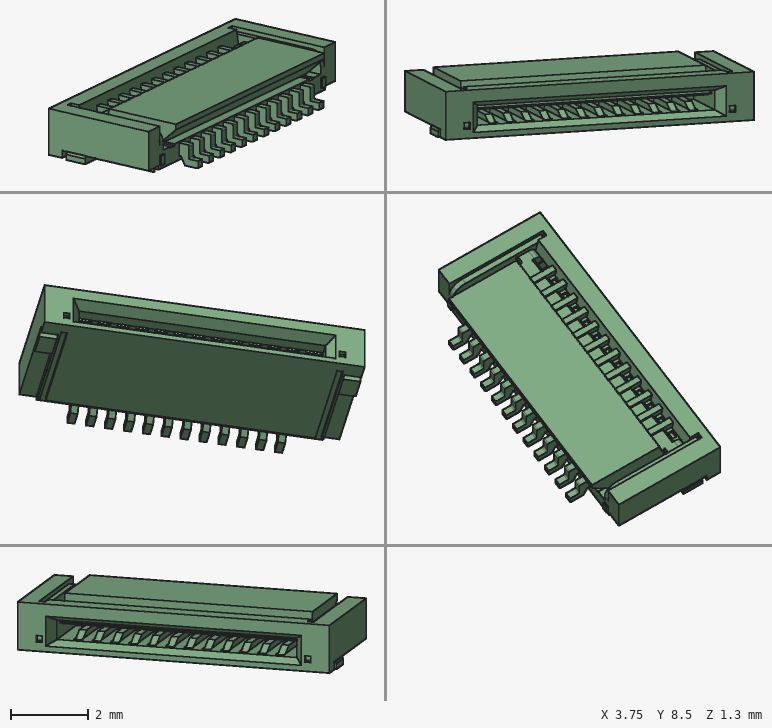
import cadquery as cq
import math


HOUSING_LENGTH = 3.15
HOUSING_HALF_WIDTH = 4.24
HOUSING_BOTTOM = 0.025
TOP = 1.3
MOUTH_WALL = 0.5
MOUTH_WALL_LOW = 0.58
BAY_HALF_WIDTH = 3.57
REAR_STEP_LENGTH = 0.15
REAR_STEP_Z = 0.13

CAVITY_HALF_WIDTH = 3.26
CAVITY_FLOOR = 0.31
CAVITY_CEILING = 0.825
CAVITY_BACK = 1.9
FUNNEL_HALF_WIDTH = 3.48
FUNNEL_FLOOR = 0.18
FUNNEL_CEILING = 0.98
FUNNEL_DEPTH = 0.29

LEDGE_HIGH = 0.68
LEDGE_LOW = 0.6
LEDGE_SLOPE_START = 1.4
LEDGE_SLOPE_END = 2.09
CORE_HALF_WIDTH = 3.06
CORE_SHOULDER = 0.57

LEVER_HALF_WIDTH = 3.37
LEVER_BOTTOM = 0.62
LEVER_REAR = 3.41
LEVER_REAR_EDGE = 1.15
LEVER_UNDERCUT_Z = 0.91
LEVER_FRONT_TOP = 1.31
LEVER_FRONT_LOW = 1.24
TONGUE_TOP = 1.02
TONGUE_HALF_WIDTH = 3.29
TONGUE_STEP = 0.87
TONGUE_LEDGE_Z = 0.89
TONGUE_LEDGE_FRONT = 0.78
TONGUE_NOSE = 0.74
TONGUE_NOSE_Z = 0.67
TONGUE_FOOT = 0.78
PIVOT_RADIUS = 0.22
PIVOT_X = 0.81
STOP_FRONT = 1.15
STOP_REAR = 1.2
STOP_INNER = 3.36
STOP_RISE = 0.05

CONTACT_COUNT = 12
CONTACT_SPAN = 5.5
CONTACT_PITCH = CONTACT_SPAN / (CONTACT_COUNT - 1)
CONTACT_POSITIONS = [index * CONTACT_PITCH - CONTACT_SPAN / 2 for index in range(CONTACT_COUNT)]
CONTACT_WIDTH = 0.195
ARM_WIDTH = 0.18
ARM_TOP = 1.08
ARM_BOTTOM = 0.89
TIP_SLOT_FRONT = 0.45
TIP_SLOT_BOTTOM = 0.24
TIP_SLOT_CLEARANCE = 0.01
TIP_FRONT = 0.56
TIP_FRONT_TOP = 0.27
TIP_TOP = 0.46
TIP_ANGLE = 28
TAIL_TOP = 0.59
TAIL_UNDERSIDE = 0.23
TAIL_REAR = 3.46
TAIL_HEEL_FRONT = 3.205
TAIL_HEEL = 3.33
FOOT_THICKNESS = 0.2
FOOT_END = 3.75
TAIL_ROUND = 0.03

NAIL_THICKNESS = 0.16
NAIL_FRONT = 0.31
NAIL_TOP = 1.18
NAIL_REAR_RADIUS = 0.4
NAIL_HEEL_REAR = 3.205
NAIL_HEEL_TOP = 0.5
NAIL_SLOT_FRONT = 0.25
NAIL_SLOT_FLOOR = 1.14
NAIL_HOLE_SIZE = 0.17
NAIL_HOLE_Z = 0.36
NAIL_TIP = 0.07

NOTCH_FRONT = 0.425
NOTCH_TOP = 0.23
NOTCH_INNER = 3.79
TAB_FRONT = 0.56
TAB_REAR = 1.16
TAB_HALF_WIDTH = 4.25
TAB_SHOULDER_Z = 0.15
TAB_SHOULDER_WIDTH = 0.04


def box(x_range, y_range, z_range):
    """Axis-aligned block from its limits along X, Y and Z."""
    lows, highs = zip(x_range, y_range, z_range)
    sizes = [high - low for low, high in zip(lows, highs)]
    return cq.Workplane("XY").box(*sizes, centered=False).translate(lows)


def extrude_along_y(profile, y_range):
    """Extrude a closed XZ sketch between two Y positions."""
    y_low, y_high = y_range
    return profile.extrude(y_low - y_high).translate((0, y_low, 0))


def prism(points, y_range):
    """Extrude an XZ polygon between two Y positions."""
    return extrude_along_y(cq.Workplane("XZ").polyline(points).close(), y_range)


def both_sides(solid):
    """The solid together with its mirror image across Y = 0."""
    return solid.union(solid.mirror("XZ"))


def symmetric(half_width):
    """Limits centred on zero."""
    return (-half_width, half_width)


def cable_mouth():
    """Straight cable cavity with a funnel-shaped entry."""
    cavity = box((0, CAVITY_BACK), symmetric(CAVITY_HALF_WIDTH), (CAVITY_FLOOR, CAVITY_CEILING))
    funnel = (
        cq.Workplane("YZ")
        .center(0, (FUNNEL_FLOOR + FUNNEL_CEILING) / 2)
        .rect(2 * FUNNEL_HALF_WIDTH, FUNNEL_CEILING - FUNNEL_FLOOR)
        .workplane(offset=FUNNEL_DEPTH)
        .center(0, (CAVITY_FLOOR + CAVITY_CEILING - FUNNEL_FLOOR - FUNNEL_CEILING) / 2)
        .rect(2 * CAVITY_HALF_WIDTH, CAVITY_CEILING - CAVITY_FLOOR)
        .loft(ruled=True)
    )
    return cavity.union(funnel)


def lever_bay():
    """Open space behind the front wall, above the side ledges and the core."""
    bay = prism(
        [
            (MOUTH_WALL, TOP),
            (MOUTH_WALL_LOW, CAVITY_CEILING),
            (MOUTH_WALL_LOW, LEDGE_HIGH),
            (LEDGE_SLOPE_START, LEDGE_HIGH),
            (LEDGE_SLOPE_END, LEDGE_LOW),
            (HOUSING_LENGTH, LEDGE_LOW),
            (HOUSING_LENGTH, TOP),
        ],
        symmetric(BAY_HALF_WIDTH),
    )
    over_cavity = box(
        (MOUTH_WALL_LOW, CAVITY_BACK), symmetric(CAVITY_HALF_WIDTH), (CAVITY_FLOOR, LEDGE_HIGH)
    )
    over_core = box(
        (CAVITY_BACK, HOUSING_LENGTH), symmetric(CAVITY_HALF_WIDTH), (CORE_SHOULDER, LEDGE_HIGH)
    )
    return bay.union(over_cavity).union(over_core)


def nail_openings():
    """Top slot for the nail blade and the small hole showing its tip, on the +Y side."""
    nail_y = (BAY_HALF_WIDTH, BAY_HALF_WIDTH + NAIL_THICKNESS)
    slot = box((NAIL_SLOT_FRONT, NAIL_FRONT), nail_y, (NAIL_SLOT_FLOOR, TOP))
    blade_room = box((NAIL_FRONT, HOUSING_LENGTH), nail_y, (HOUSING_BOTTOM, TOP))
    hole_z = (NAIL_HOLE_Z - NAIL_HOLE_SIZE / 2, NAIL_HOLE_Z + NAIL_HOLE_SIZE / 2)
    hole = box((0, NAIL_FRONT), nail_y, hole_z)
    return slot.union(blade_room).union(hole)


def cut_tip_slots(housing):
    """Cut the cavity-floor slots around the contact tips."""
    slot = box(
        (TIP_SLOT_FRONT, CAVITY_BACK),
        symmetric(CONTACT_WIDTH / 2 + TIP_SLOT_CLEARANCE),
        (TIP_SLOT_BOTTOM, CAVITY_FLOOR),
    )
    for contact_y in CONTACT_POSITIONS:
        housing = housing.cut(slot.translate((0, contact_y, 0)))
    return housing


def make_housing():
    """Housing with mouth, lever bay and openings for contacts, nails and tabs."""
    body = box((0, HOUSING_LENGTH), symmetric(HOUSING_HALF_WIDTH), (HOUSING_BOTTOM, TOP))
    core_ridge = box(
        (CAVITY_BACK, HOUSING_LENGTH), symmetric(CORE_HALF_WIDTH), (CORE_SHOULDER, LEVER_BOTTOM)
    )
    rear_step = box(
        (HOUSING_LENGTH - REAR_STEP_LENGTH, HOUSING_LENGTH),
        symmetric(HOUSING_HALF_WIDTH),
        (HOUSING_BOTTOM, REAR_STEP_Z),
    )
    tab_notch = box(
        (NOTCH_FRONT, HOUSING_LENGTH), (NOTCH_INNER, HOUSING_HALF_WIDTH), (HOUSING_BOTTOM, NOTCH_TOP)
    )
    housing = (
        body.cut(cable_mouth())
        .cut(lever_bay())
        .union(core_ridge)
        .cut(rear_step)
        .cut(both_sides(nail_openings()))
        .cut(both_sides(tab_notch))
    )
    return cut_tip_slots(housing)


def make_lever():
    """Locking lever with its front tongue, pivot ends and end stops."""
    undercut_slope = (LEVER_REAR_EDGE - LEVER_UNDERCUT_Z) / (LEVER_REAR - HOUSING_LENGTH)
    undercut_start = HOUSING_LENGTH - (LEVER_UNDERCUT_Z - LEVER_BOTTOM) / undercut_slope
    plate = prism(
        [
            (LEVER_FRONT_TOP, TOP),
            (LEVER_REAR, TOP),
            (LEVER_REAR, LEVER_REAR_EDGE),
            (undercut_start, LEVER_BOTTOM),
            (LEVER_FRONT_LOW, LEVER_BOTTOM),
            (LEVER_FRONT_LOW, TONGUE_TOP),
        ],
        symmetric(LEVER_HALF_WIDTH),
    )
    tongue = prism(
        [
            (LEVER_FRONT_LOW, TONGUE_TOP),
            (TONGUE_STEP, TONGUE_TOP),
            (TONGUE_STEP, TONGUE_LEDGE_Z),
            (TONGUE_LEDGE_FRONT, TONGUE_LEDGE_Z),
            (TONGUE_NOSE, TONGUE_NOSE_Z),
            (TONGUE_FOOT, LEVER_BOTTOM),
            (LEVER_FRONT_LOW, LEVER_BOTTOM),
        ],
        symmetric(TONGUE_HALF_WIDTH),
    )
    pivot_profile = (
        cq.Workplane("XZ")
        .moveTo(PIVOT_X, TONGUE_TOP)
        .radiusArc((PIVOT_X - PIVOT_RADIUS, TONGUE_TOP - PIVOT_RADIUS), -PIVOT_RADIUS)
        .lineTo(PIVOT_X - PIVOT_RADIUS, LEVER_BOTTOM)
        .lineTo(LEVER_FRONT_LOW, LEVER_BOTTOM)
        .lineTo(LEVER_FRONT_LOW, TONGUE_TOP)
        .close()
    )
    pivot = extrude_along_y(pivot_profile, (TONGUE_HALF_WIDTH, BAY_HALF_WIDTH))
    pit = box(
        (STOP_REAR, LEVER_FRONT_LOW), (LEVER_HALF_WIDTH, BAY_HALF_WIDTH), (LEVER_BOTTOM, TONGUE_TOP)
    )
    stop = prism(
        [
            (STOP_FRONT, TONGUE_TOP),
            (STOP_FRONT, TONGUE_TOP + STOP_RISE),
            (STOP_REAR, TONGUE_TOP),
        ],
        (STOP_INNER, BAY_HALF_WIDTH),
    )
    pivot = pivot.cut(pit).union(stop)
    return plate.union(tongue).union(both_sides(pivot))


def make_contact():
    """One contact centred on Y = 0: upper arm, lower tip and solder tail."""
    across = symmetric(CONTACT_WIDTH / 2)
    arm = box((MOUTH_WALL, LEVER_FRONT_TOP), symmetric(ARM_WIDTH / 2), (ARM_BOTTOM, ARM_TOP))
    tip_crest = TIP_FRONT + (TIP_TOP - TIP_FRONT_TOP) / math.tan(math.radians(TIP_ANGLE))
    tip = prism(
        [
            (TIP_FRONT, TIP_SLOT_BOTTOM),
            (TIP_FRONT, TIP_FRONT_TOP),
            (tip_crest, TIP_TOP),
            (CAVITY_BACK, TIP_TOP),
            (CAVITY_BACK, TIP_SLOT_BOTTOM),
        ],
        across,
    )
    tail = prism(
        [
            (CAVITY_BACK, TAIL_TOP),
            (TAIL_REAR, TAIL_TOP),
            (TAIL_REAR, FOOT_THICKNESS),
            (FOOT_END, FOOT_THICKNESS),
            (FOOT_END, 0),
            (TAIL_HEEL, 0),
            (TAIL_HEEL_FRONT, TAIL_UNDERSIDE),
            (CAVITY_BACK, TAIL_UNDERSIDE),
        ],
        across,
    )
    rounded_corners = [(TAIL_REAR, TAIL_TOP), (TAIL_REAR, FOOT_THICKNESS), (FOOT_END, 0)]
    for x, z in rounded_corners:
        tail = tail.edges(cq.selectors.NearestToPointSelector((x, 0, z))).fillet(TAIL_ROUND)
    return arm, tip, tail


def make_nail():
    """Hold-down nail on the +Y side with its rounded tip."""
    nail_y = (BAY_HALF_WIDTH, BAY_HALF_WIDTH + NAIL_THICKNESS)
    blade_profile = (
        cq.Workplane("XZ")
        .moveTo(NAIL_FRONT, REAR_STEP_Z)
        .lineTo(NAIL_FRONT, NAIL_TOP)
        .lineTo(HOUSING_LENGTH - NAIL_REAR_RADIUS, NAIL_TOP)
        .radiusArc((HOUSING_LENGTH, NAIL_TOP - NAIL_REAR_RADIUS), NAIL_REAR_RADIUS)
        .lineTo(HOUSING_LENGTH, NAIL_HEEL_TOP)
        .lineTo(NAIL_HEEL_REAR, NAIL_HEEL_TOP)
        .lineTo(NAIL_HEEL_REAR, NOTCH_TOP)
        .lineTo(HOUSING_LENGTH, NOTCH_TOP)
        .lineTo(HOUSING_LENGTH, REAR_STEP_Z)
        .close()
    )
    blade = extrude_along_y(blade_profile, nail_y)
    tip_radius = NAIL_HOLE_SIZE / 2
    tip_profile = (
        cq.Workplane("XZ")
        .moveTo(NAIL_FRONT, NAIL_HOLE_Z - tip_radius)
        .lineTo(NAIL_TIP + tip_radius, NAIL_HOLE_Z - tip_radius)
        .threePointArc((NAIL_TIP, NAIL_HOLE_Z), (NAIL_TIP + tip_radius, NAIL_HOLE_Z + tip_radius))
        .lineTo(NAIL_FRONT, NAIL_HOLE_Z + tip_radius)
        .close()
    )
    return blade.union(extrude_along_y(tip_profile, nail_y))


def make_tab():
    """Solder tab below the +Y side wall, with a sloped outer shoulder."""
    profile = [
        (NOTCH_INNER, 0),
        (TAB_HALF_WIDTH, 0),
        (TAB_HALF_WIDTH, TAB_SHOULDER_Z),
        (TAB_HALF_WIDTH - TAB_SHOULDER_WIDTH, NOTCH_TOP),
        (NOTCH_INNER, NOTCH_TOP),
    ]
    tab = cq.Workplane("YZ").polyline(profile).close().extrude(TAB_REAR - TAB_FRONT)
    return tab.translate((TAB_FRONT, 0, 0))


def make_contact_row():
    """Separate contact parts, copied to every position along the row."""
    return [
        part.translate((0, contact_y, 0)) for contact_y in CONTACT_POSITIONS for part in make_contact()
    ]


result = make_housing().union(make_lever())
result = result.union(both_sides(make_nail())).union(both_sides(make_tab()))
for contact_part in make_contact_row():
    result = result.union(contact_part)